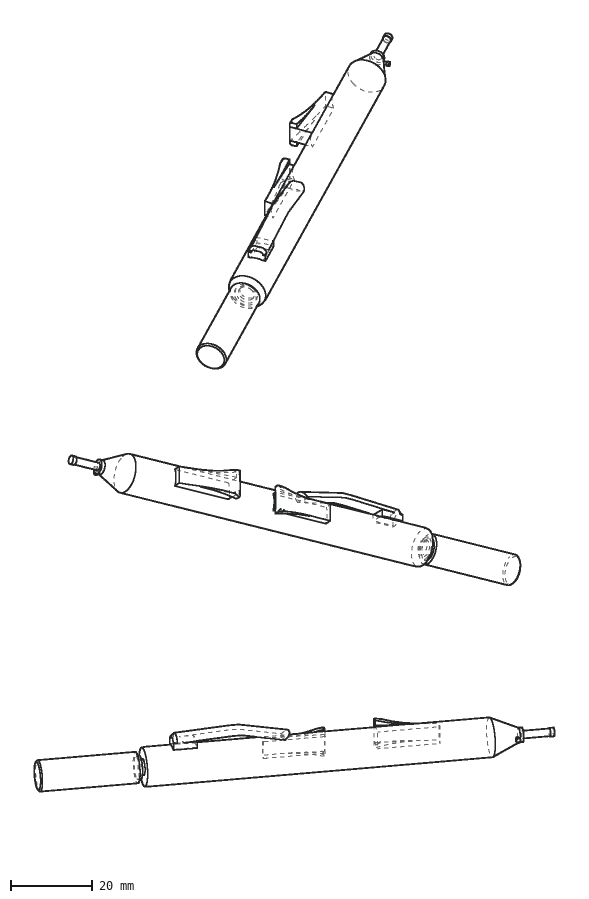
import cadquery as cq

LENGTH = 130.8

CAP_DIA = 7.9
CAP_EDGE = 0.4
FLANGE_DIA = 5.8
FLANGE_START = 25.1
NECK_DIA = 4.0
NECK_START = 26.0
BODY_DIA = 10.0
BODY_START = 26.8
BODY_EDGE = 0.1
BODY_EDGE_LENGTH = 0.9
CONE_START = 114.9
COLLAR_DIA = 3.7
COLLAR_START = 122.0
NEEDLE_DIA = 2.0
NEEDLE_START = 122.9
TIP_DIA = 2.2
TIP_LENGTH = 1.0
BODY_RADIUS = BODY_DIA / 2

MARGIN = 0.1

PIN_Y = 121.0
PIN_DIA = 0.8
PIN_HEAD_DIA = 1.2
PIN_HEAD_LENGTH = 0.7
PIN_REACH = 3.8

SLIDER_LENGTH = 15.7
SLIDER_LOW_REACH = 6.7
SLIDER_ROOT = 3.3
SLIDER_LEAN = 0.4
SLIDER_WIDTH = 4.5
LIP_WIDTH = 7.2
LIP_THICKNESS = 2.0
LIP_ROUND = 0.9
CREST_ROUND = 0.5
FLARE_LENGTH = 9.8
FLARE_SAG = 0.33
REAR_LIP_Y = 87.5
REAR_LIP_REACH = 10.6
REAR_CREST_LENGTH = 1.6
REAR_SAG = 0.4
FRONT_LIP_Y = 74.2
FRONT_LIP_REACH = 7.7
FRONT_CREST_LENGTH = 1.0
FRONT_SAG = 0.4

CLIP_WIDTH = 4.5
CLIP_TOP = 8.8
CLIP_THICKNESS = 1.7
CLIP_BACK_Y = 34.0
CLIP_BACK_TOP = 8.0
CLIP_BEND_START = 49.0
CLIP_BEND_END = 51.3
CLIP_TIP_Y = 63.7
CLIP_TIP_TOP = 6.3
CLIP_TIP_SLANT = 1.5
CLIP_TIP_SINK = 0.1
CLIP_FOOT_LENGTH = 6.0
CLIP_FOOT_BOTTOM = 4.7
CLIP_EDGE_ROUND = 1.6
CLIP_END_CHAMFER_DEPTH = 0.7
CLIP_END_CHAMFER_LENGTH = 0.9
CLIP_TIP_CORNER = 1.3


def turned_body():
    """Cap, neck, barrel, cone and needle as one revolved outline."""
    profile = [
        (0, 0),
        (CAP_DIA / 2 - CAP_EDGE, 0),
        (CAP_DIA / 2, CAP_EDGE),
        (CAP_DIA / 2, FLANGE_START),
        (FLANGE_DIA / 2, FLANGE_START),
        (FLANGE_DIA / 2, NECK_START),
        (NECK_DIA / 2, NECK_START),
        (NECK_DIA / 2, BODY_START),
        (BODY_RADIUS - BODY_EDGE, BODY_START),
        (BODY_RADIUS, BODY_START + BODY_EDGE_LENGTH),
        (BODY_RADIUS, CONE_START),
        (COLLAR_DIA / 2, COLLAR_START),
        (COLLAR_DIA / 2, NEEDLE_START),
        (NEEDLE_DIA / 2, NEEDLE_START),
        (NEEDLE_DIA / 2, LENGTH - TIP_LENGTH),
        (TIP_DIA / 2, LENGTH - TIP_LENGTH),
        (TIP_DIA / 2, LENGTH),
        (0, LENGTH),
    ]
    return cq.Workplane("XY").polyline(profile).close().revolve(360, (0, 0, 0), (0, 1, 0))


def cone_pin():
    """Small pin with a wider head, set radially in the cone."""
    axis_start = cq.Workplane("YZ").center(PIN_Y, 0)
    shank = axis_start.circle(PIN_DIA / 2).extrude(PIN_REACH)
    head = (
        axis_start.workplane(offset=PIN_REACH - PIN_HEAD_LENGTH)
        .circle(PIN_HEAD_DIA / 2)
        .extrude(PIN_HEAD_LENGTH)
    )
    return shank.union(head)


def slider(lip_y, toward, lip_reach, crest_length, sag):
    """Slider with its lip at lip_y; the low end lies `toward` (+1 or -1) along Y."""
    low_y = lip_y + toward * SLIDER_LENGTH
    crest_end_y = lip_y + toward * crest_length
    low_point = (-SLIDER_LOW_REACH, low_y)
    slope_middle = (
        sag - (lip_reach + SLIDER_LOW_REACH) / 2,
        (crest_end_y + low_y) / 2,
    )
    half = SLIDER_WIDTH / 2
    lip_half = LIP_WIDTH / 2

    def side(start, half_width):
        """Side outline begun at `start`, over the crest to the low end, left open."""
        return (
            cq.Workplane("XY", origin=(0, 0, -half_width))
            .moveTo(*start)
            .lineTo(-lip_reach, lip_y)
            .lineTo(-lip_reach, crest_end_y)
            .threePointArc(slope_middle, low_point)
        )

    block = (
        side((-SLIDER_ROOT, lip_y - SLIDER_LEAN), half)
        .lineTo(-SLIDER_ROOT, low_y - SLIDER_LEAN)
        .close()
        .extrude(SLIDER_WIDTH)
        .edges("|Z and <X")
        .fillet(CREST_ROUND)
    )

    lip = (
        side((LIP_THICKNESS - lip_reach, lip_y), lip_half)
        .close()
        .extrude(LIP_WIDTH)
        .edges("|Z and <X")
        .fillet(CREST_ROUND)
    )

    flare_y = lip_y + toward * FLARE_LENGTH
    flare_middle_y = (lip_y + flare_y) / 2
    flare_middle_half = (half + lip_half) / 2 - FLARE_SAG
    flare = (
        cq.Workplane("YZ")
        .moveTo(flare_y, half)
        .threePointArc((flare_middle_y, flare_middle_half), (lip_y, lip_half))
        .lineTo(lip_y, -lip_half)
        .threePointArc((flare_middle_y, -flare_middle_half), (flare_y, -half))
        .close()
        .extrude(-lip_reach)
    )

    crest_bar = (
        cq.Workplane("XY")
        .box(lip_reach, LENGTH, LIP_WIDTH, centered=(False, False, True))
        .translate((-lip_reach, 0, 0))
        .edges("|Y and <X")
        .fillet(LIP_ROUND)
    )
    return block.union(lip.intersect(flare).intersect(crest_bar))


def clip():
    """Bent clip with rounded long edges, standing on a foot at its back end."""
    underside = CLIP_TOP - CLIP_THICKNESS
    foot_top = CLIP_BACK_TOP - CLIP_THICKNESS
    blade = (
        cq.Workplane("YZ")
        .moveTo(CLIP_BACK_Y, CLIP_BACK_TOP)
        .lineTo(CLIP_BEND_START, CLIP_TOP)
        .lineTo(CLIP_BEND_END, CLIP_TOP)
        .lineTo(CLIP_TIP_Y, CLIP_TIP_TOP)
        .lineTo(CLIP_TIP_Y - CLIP_TIP_SLANT, BODY_RADIUS - CLIP_TIP_SINK)
        .lineTo(CLIP_BEND_END, underside)
        .lineTo(CLIP_BEND_START, underside)
        .lineTo(CLIP_BACK_Y, foot_top)
        .close()
        .extrude(CLIP_WIDTH / 2, both=True)
    )

    long_top_edges = cq.selectors.BoxSelector(
        (-CLIP_WIDTH, CLIP_BACK_Y + MARGIN, underside + MARGIN),
        (CLIP_WIDTH, CLIP_TIP_Y - CLIP_TIP_SLANT, CLIP_TOP + MARGIN),
    )
    blade = blade.faces("<X or >X").edges(long_top_edges).fillet(CLIP_EDGE_ROUND)

    back_edges = cq.selectors.BoxSelector(
        (-CLIP_WIDTH, CLIP_BACK_Y - MARGIN, foot_top + MARGIN / 2),
        (CLIP_WIDTH, CLIP_BACK_Y + MARGIN, CLIP_TOP),
    )
    blade = blade.edges(back_edges).chamfer(CLIP_END_CHAMFER_LENGTH, CLIP_END_CHAMFER_DEPTH)

    plan = (
        cq.Workplane("XY")
        .center(0, (CLIP_BACK_Y + CLIP_TIP_Y) / 2)
        .rect(CLIP_WIDTH, CLIP_TIP_Y - CLIP_BACK_Y)
        .extrude(CLIP_TOP)
        .edges("|Z and >Y")
        .fillet(CLIP_TIP_CORNER)
    )
    foot = cq.Workplane("XY").box(
        CLIP_WIDTH, CLIP_FOOT_LENGTH, foot_top - CLIP_FOOT_BOTTOM + MARGIN, centered=(True, False, False)
    )
    foot = foot.translate((0, CLIP_BACK_Y, CLIP_FOOT_BOTTOM))
    return blade.intersect(plan).union(foot)


result = (
    turned_body()
    .union(cone_pin())
    .union(slider(REAR_LIP_Y, 1, REAR_LIP_REACH, REAR_CREST_LENGTH, REAR_SAG))
    .union(slider(FRONT_LIP_Y, -1, FRONT_LIP_REACH, FRONT_CREST_LENGTH, FRONT_SAG))
    .union(clip())
)